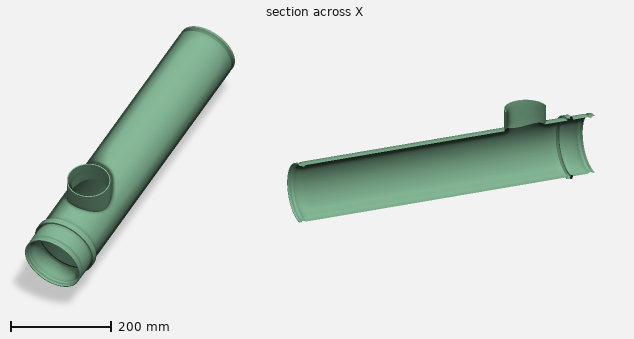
import cadquery as cq

LENGTH = 640.0
PIPE_RADIUS = 63.0
WALL = 2.0

GROOVE_DEPTH = 2.5
LIP_WIDTH = 4.5
GROOVE_DEEPEST = 8.0
SHOULDER_START = 12.0
SHOULDER_DEPTH = 1.0
GROOVE_END = 14.0

BEAD_DIAMETER = 134.0
BEAD_RADIUS = BEAD_DIAMETER / 2
BEAD_START = 48.5
BEAD_WIDTH = 11.5

BRANCH_RADIUS = 43.5
BRANCH_FROM_END = 149.0
TOTAL_HEIGHT = 169.5
BRANCH_TOP = TOTAL_HEIGHT - BEAD_RADIUS

FRONT_END = -LENGTH / 2
BACK_END = LENGTH / 2


def cylinder_along_y(radius, start, length):
    """Solid cylinder around the pipe axis, growing toward +Y from start."""
    plane = cq.Plane(origin=(0, start, 0), xDir=(1, 0, 0), normal=(0, 1, 0))
    return cq.Workplane(plane).circle(radius).extrude(length)


def groove_cutter(pipe_radius, end, inward):
    """Ring between the pipe surface and a rounded groove; inward is the Y direction into the pipe."""
    clear_radius = pipe_radius + WALL
    lip = end + inward * LIP_WIDTH
    deepest = end + inward * GROOVE_DEEPEST
    shoulder = end + inward * SHOULDER_START
    groove_end = end + inward * GROOVE_END
    profile = (
        cq.Workplane("XY")
        .moveTo(clear_radius, lip)
        .lineTo(pipe_radius, lip)
        .threePointArc((pipe_radius - GROOVE_DEPTH, deepest), (pipe_radius - SHOULDER_DEPTH, shoulder))
        .lineTo(pipe_radius, groove_end)
        .lineTo(clear_radius, groove_end)
        .close()
    )
    return profile.revolve(360, (0, 0, 0), (0, 1, 0))


def pipe_form(inset):
    """Solid filling the pipe's outer shape, shrunk radially by inset; the bead narrows by it too."""
    radius = PIPE_RADIUS - inset
    form = cylinder_along_y(radius, FRONT_END, LENGTH)
    bead = cylinder_along_y(BEAD_RADIUS - inset, FRONT_END + BEAD_START + inset, BEAD_WIDTH - 2 * inset)
    form = form.union(bead)
    for end, inward in ((FRONT_END, 1), (BACK_END, -1)):
        form = form.cut(groove_cutter(radius, end, inward))
    return form


def branch_form(radius):
    """Solid cylinder from the pipe axis up to the branch mouth."""
    return (
        cq.Workplane("XY")
        .center(0, FRONT_END + BRANCH_FROM_END)
        .circle(radius)
        .extrude(BRANCH_TOP)
    )


outer = pipe_form(0).union(branch_form(BRANCH_RADIUS))
result = outer.cut(pipe_form(WALL)).cut(branch_form(BRANCH_RADIUS - WALL))